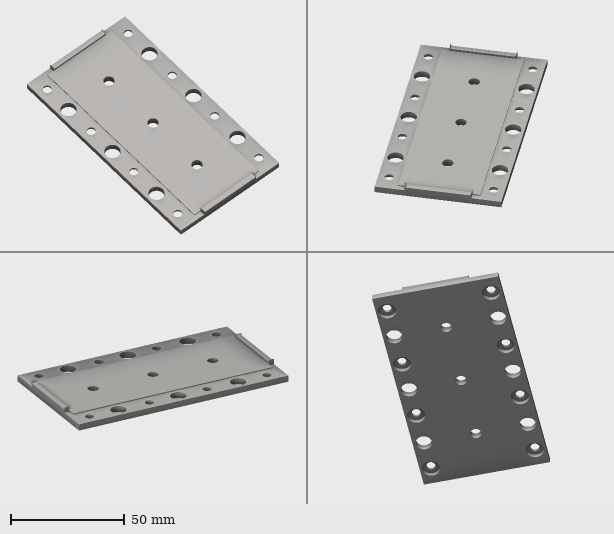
import cadquery as cq
import math

plate_length = 105.0
plate_width = 57.0
plate_thickness = 3.0
overall_height = 5.5

panel_width = 37.0
panel_height = 0.5

rail_width = 2.5
rail_length = 30.0
tip_radius = 1.0
panel_length = plate_length - 2 * rail_width

hole_pitch = 30.0
row_offset = 23.5
centre_hole_diameter = 5.0
large_hole_diameter = 7.2
small_hole_diameter = 4.0
counterbore_diameter = 8.0
small_hole_lip = 1.0
small_hole_inner_x = 14.5
small_hole_outer_x = small_hole_inner_x + hole_pitch


def make_plate():
    plate = cq.Workplane("XY").box(
        plate_length, plate_width, plate_thickness, centered=(True, True, False)
    )
    panel = (
        cq.Workplane("XY")
        .workplane(offset=plate_thickness)
        .rect(panel_length, panel_width)
        .extrude(panel_height)
    )
    return plate.union(panel)


def make_rail(start_x):
    """Rail along Y whose flat crest sweeps up in a concave arc to a sharp tip at each end."""
    half_length = rail_length / 2
    crest_height = overall_height - tip_radius
    crest_half_length = half_length - tip_radius
    arc_offset = tip_radius * math.sqrt(0.5)
    arc_mid_y = crest_half_length + arc_offset
    arc_mid_z = overall_height - arc_offset
    return (
        cq.Workplane("YZ")
        .workplane(offset=start_x)
        .moveTo(-half_length, plate_thickness)
        .lineTo(half_length, plate_thickness)
        .lineTo(half_length, overall_height)
        .threePointArc((arc_mid_y, arc_mid_z), (crest_half_length, crest_height))
        .lineTo(-crest_half_length, crest_height)
        .threePointArc((-arc_mid_y, arc_mid_z), (-half_length, overall_height))
        .close()
        .extrude(rail_width)
    )


def make_holes(points, diameter, depth):
    """Cylinders rising from the underside at each point."""
    return cq.Workplane("XY").pushPoints(points).circle(diameter / 2).extrude(depth)


main_hole_xs = [-hole_pitch, 0, hole_pitch]
small_hole_xs = [-small_hole_outer_x, -small_hole_inner_x, small_hole_inner_x, small_hole_outer_x]
row_ys = [-row_offset, row_offset]

result = make_plate()
for rail_start_x in (-plate_length / 2, plate_length / 2 - rail_width):
    result = result.union(make_rail(rail_start_x))

centre_points = [(x, 0) for x in main_hole_xs]
large_points = [(x, y) for x in main_hole_xs for y in row_ys]
small_points = [(x, y) for x in small_hole_xs for y in row_ys]
result = result.cut(make_holes(centre_points, centre_hole_diameter, overall_height))
result = result.cut(make_holes(large_points, large_hole_diameter, overall_height))
result = result.cut(make_holes(small_points, small_hole_diameter, overall_height))

counterbore_depth = plate_thickness - small_hole_lip
result = result.cut(make_holes(small_points, counterbore_diameter, counterbore_depth))